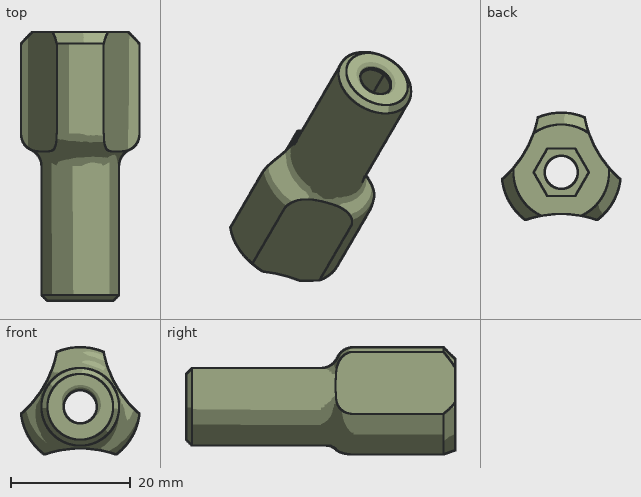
import cadquery as cq
import math

total_length = 45.0
head_length = 20.0
head_radius = 10.0
head_chamfer = 2.0
shaft_radius = 6.5
tip_chamfer = 1.0
shoulder_radius = 3.0

flute_count = 3
flute_radius = 18.0
flute_half_chord = 6.0

bore_radius = 2.75
mouth_radius = 3.65
mouth_round = 1.0
tip_wall = 1.0
socket_sides = 6
socket_across_flats = 8.0

tolerance = 1e-6

shoulder_y = total_length - head_length
flute_corner_depth = math.sqrt(head_radius**2 - flute_half_chord**2)
flute_rise = flute_radius - math.sqrt(flute_radius**2 - flute_half_chord**2)
flute_floor_depth = flute_corner_depth - flute_rise
socket_across_corners = socket_across_flats / math.cos(math.pi / socket_sides)

half_step = (head_radius - shaft_radius) / 2
blend_radius = shaft_radius + half_step
blend_run = math.sqrt(shoulder_radius**2 - (shoulder_radius - half_step) ** 2)
blend_y = shoulder_y + shoulder_radius - blend_run
fillet_start_y = blend_y - blend_run

flute_spacing = 360 / flute_count
flute_axis_distance = flute_floor_depth + flute_radius
flute_half_angle = math.degrees(
    math.acos(
        (blend_radius**2 + flute_axis_distance**2 - flute_radius**2)
        / (2 * blend_radius * flute_axis_distance)
    )
)
lobe_angle = flute_spacing - 2 * flute_half_angle
lobe_middle_offset = 90


def turn(shape, angle):
    """Rotate a shape about the part axis."""
    return shape.rotate((0, 0, 0), (0, 1, 0), angle)


def cross_section(y):
    """Sketch plane across the axis; extruding from it runs toward +Y."""
    return cq.Workplane(cq.Plane(origin=(0, y, 0), xDir=(1, 0, 0), normal=(0, 1, 0)))


def make_head():
    """Turned head, rounded toward the shaft and chamfered at the far end."""
    profile = (
        cq.Workplane("XY")
        .moveTo(0, shoulder_y)
        .lineTo(head_radius - shoulder_radius, shoulder_y)
        .radiusArc((head_radius, shoulder_y + shoulder_radius), -shoulder_radius)
        .lineTo(head_radius, total_length - head_chamfer)
        .lineTo(head_radius - head_chamfer, total_length)
        .lineTo(0, total_length)
        .close()
    )
    return profile.revolve(360, (0, 0, 0), (0, 1, 0))


def make_flute(index):
    """Cutter for one flute, bounded inward by the flute arc."""
    cutter = (
        cross_section(shoulder_y)
        .moveTo(-flute_half_chord, flute_corner_depth)
        .threePointArc((0, flute_floor_depth), (flute_half_chord, flute_corner_depth))
        .lineTo(flute_half_chord, head_radius)
        .lineTo(-flute_half_chord, head_radius)
        .close()
        .extrude(head_length)
    )
    return turn(cutter, index * flute_spacing)


def make_shaft():
    """Plain shaft from the tip to the shoulder, chamfered at the tip."""
    shaft = cross_section(0).circle(shaft_radius).extrude(shoulder_y)
    return shaft.faces("<Y").edges().chamfer(tip_chamfer)


def blend_shoulder(body):
    """Concave fillet along the circle where the shaft meets the head."""
    corner = [
        edge
        for edge in body.edges("%CIRCLE").vals()
        if abs(edge.Center().y - shoulder_y) < tolerance
        and abs(edge.radius() - shaft_radius) < tolerance
    ]
    return body.newObject(corner).fillet(shoulder_radius)


def refine_lobe_fillet(body, index):
    """Rebuild the shaft fillet under one lobe as an exact surface of revolution."""
    start_angle = index * flute_spacing - lobe_middle_offset - lobe_angle / 2
    pocket_profile = (
        cq.Workplane("XY")
        .moveTo(bore_radius, fillet_start_y)
        .lineTo(head_radius, fillet_start_y)
        .lineTo(head_radius, blend_y)
        .lineTo(bore_radius, blend_y)
        .close()
    )
    fillet_profile = (
        cq.Workplane("XY")
        .moveTo(bore_radius, fillet_start_y)
        .lineTo(shaft_radius, fillet_start_y)
        .radiusArc((blend_radius, blend_y), shoulder_radius)
        .lineTo(bore_radius, blend_y)
        .close()
    )
    pocket = pocket_profile.revolve(lobe_angle, (0, 0, 0), (0, 1, 0))
    fillet = fillet_profile.revolve(lobe_angle, (0, 0, 0), (0, 1, 0))
    return body.cut(turn(pocket, start_angle)).union(turn(fillet, start_angle))


def make_bore():
    """Round bore whose mouth curves in from the tip face."""
    curve_depth = mouth_round - math.sqrt(mouth_round**2 - (mouth_radius - bore_radius) ** 2)
    profile = (
        cq.Workplane("XY")
        .lineTo(mouth_radius, 0)
        .radiusArc((bore_radius, curve_depth), mouth_round)
        .lineTo(bore_radius, tip_wall)
        .lineTo(0, tip_wall)
        .close()
    )
    return profile.revolve(360, (0, 0, 0), (0, 1, 0))


def make_socket():
    """Hexagon socket from the end of the bore out through the head."""
    socket_length = total_length - tip_wall
    return cross_section(tip_wall).polygon(socket_sides, socket_across_corners).extrude(socket_length)


body = make_head()
for flute_index in range(flute_count):
    body = body.cut(make_flute(flute_index))
body = body.union(make_shaft())
body = blend_shoulder(body)
for lobe_index in range(flute_count):
    body = refine_lobe_fillet(body, lobe_index)
result = body.cut(make_bore()).cut(make_socket())